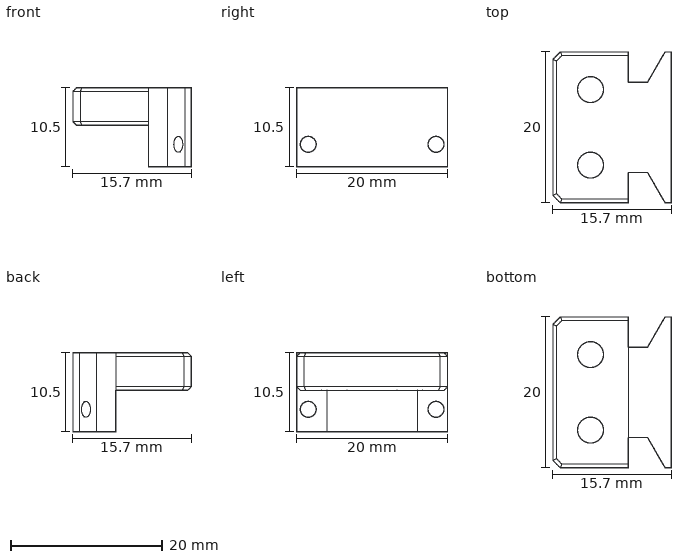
import cadquery as cq
import math

length = 15.72
width = 20.0
height = 10.5

plate_length = 10.0
plate_thickness = 5.0
corner_chamfer = 1.0
edge_chamfer = 0.5
plate_hole_diameter = 3.4
plate_hole_spacing = 10.0

neck_width = 12.0
lip_thickness = 0.85
flank_angle = 60.0
rail_hole_diameter = 2.08
rail_hole_spacing = 16.92
rail_hole_height = 3.0

plate_bottom = height - plate_thickness
flare_depth = (width - neck_width) / 2 / math.tan(math.radians(flank_angle))
lip_start = length - lip_thickness
flare_start = lip_start - flare_depth


def make_plate():
    """Chamfered plate; its edges towards the neck stay sharp."""
    plate = (
        cq.Workplane("XY", origin=(0, 0, plate_bottom))
        .box(plate_length, width, plate_thickness, centered=(False, True, False))
        .edges("|Z and <X")
        .chamfer(corner_chamfer)
    )
    neck_side_edges = cq.selectors.BoxSelector(
        (plate_length - edge_chamfer, -width, 0),
        (plate_length + edge_chamfer, width, 2 * height),
    )
    rim = cq.selectors.StringSyntaxSelector("#Z") - neck_side_edges
    return plate.edges(rim).chamfer(edge_chamfer)


def make_rail():
    """Full-height neck that flares into the dovetail lip."""
    half_neck = neck_width / 2
    half_width = width / 2
    outline = [
        (plate_length, -half_neck),
        (flare_start, -half_neck),
        (lip_start, -half_width),
        (length, -half_width),
        (length, half_width),
        (lip_start, half_width),
        (flare_start, half_neck),
        (plate_length, half_neck),
    ]
    return cq.Workplane("XY").polyline(outline).close().extrude(height)


def make_plate_holes():
    """Vertical bores through the middle of the plate."""
    half_spacing = plate_hole_spacing / 2
    return (
        cq.Workplane("XY")
        .pushPoints([(plate_length / 2, -half_spacing), (plate_length / 2, half_spacing)])
        .circle(plate_hole_diameter / 2)
        .extrude(height)
    )


def make_rail_holes():
    """Bores along X through both wings of the dovetail."""
    half_spacing = rail_hole_spacing / 2
    return (
        cq.Workplane("YZ")
        .pushPoints([(-half_spacing, rail_hole_height), (half_spacing, rail_hole_height)])
        .circle(rail_hole_diameter / 2)
        .extrude(length)
    )


body = make_plate().union(make_rail())
result = body.cut(make_plate_holes()).cut(make_rail_holes())